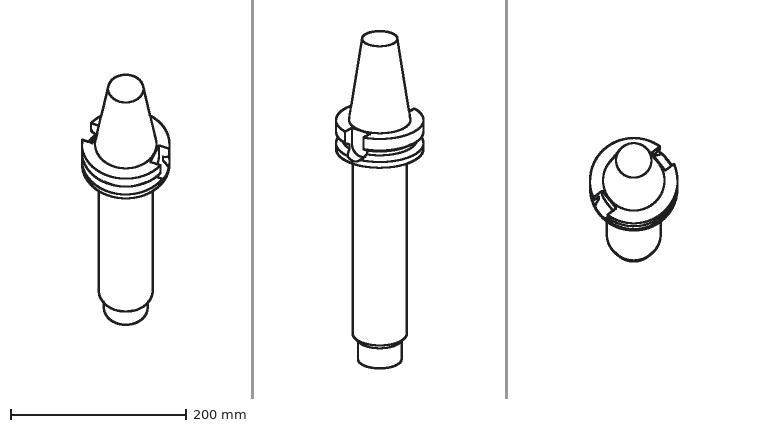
import cadquery as cq

length = 405.0

spigot_diameter = 50.0
spigot_length = 25.5
shank_diameter = 62.0
shoulder_height = 6.5
flange_diameter = 100.0
flange_bottom = 265.5
flange_top = 302.0
collar_height = 5.0

groove_diameter = 85.0
groove_floor_bottom = 277.5
groove_floor_top = 282.5
groove_flank_height = 5.0

taper_diameter = 70.0
taper_length = 101.5
taper_ratio = 7 / 24

slot_width = 26.0
slot_bottom = 269.0
slot_floor_offset = 35.5

shank_radius = shank_diameter / 2
spigot_radius = spigot_diameter / 2
flange_radius = flange_diameter / 2
groove_radius = groove_diameter / 2
taper_radius = taper_diameter / 2
tip_radius = (taper_diameter - taper_ratio * taper_length) / 2


def make_body():
    """Revolve the half profile of the holder about Z."""
    profile = [
        (0, 0),
        (spigot_radius, 0),
        (spigot_radius, spigot_length),
        (shank_radius, spigot_length + shoulder_height),
        (shank_radius, flange_bottom - collar_height),
        (taper_radius, flange_bottom),
        (flange_radius, flange_bottom),
        (flange_radius, groove_floor_bottom - groove_flank_height),
        (groove_radius, groove_floor_bottom),
        (groove_radius, groove_floor_top),
        (flange_radius, groove_floor_top + groove_flank_height),
        (flange_radius, flange_top),
        (taper_radius, flange_top),
        (taper_radius, length - taper_length),
        (tip_radius, length),
        (0, length),
    ]
    return cq.Workplane("XZ").polyline(profile).close().revolve(360, (0, 0), (0, 1))


def make_drive_slot(side):
    """Cutter for a round-bottomed slot on the +X (side=1) or -X (side=-1) flank."""
    half_width = slot_width / 2
    arc_center = slot_bottom + half_width
    return (
        cq.Workplane("YZ", origin=(side * slot_floor_offset, 0, 0))
        .moveTo(-half_width, flange_top)
        .lineTo(-half_width, arc_center)
        .threePointArc((0, slot_bottom), (half_width, arc_center))
        .lineTo(half_width, flange_top)
        .close()
        .extrude(side * flange_radius)
    )


result = make_body()
for side in (-1, 1):
    result = result.cut(make_drive_slot(side))